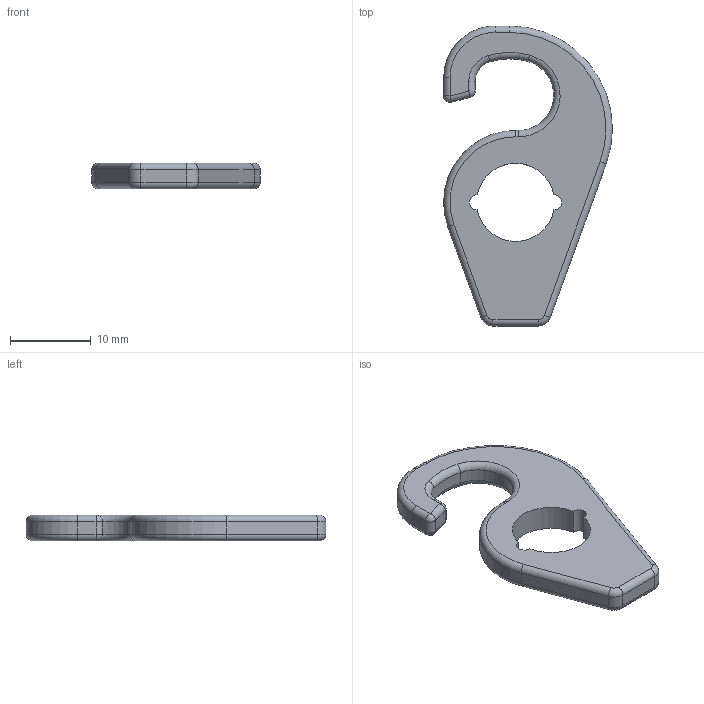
import cadquery as cq
import math

THICKNESS = 3.175
EDGE_ROUND = 0.79

RING_RADIUS = 8.89
BORE_RADIUS = 4.83
NOTCH_RADIUS = 0.94
NOTCH_OFFSET = 4.76

TAIL_BOTTOM = -15.27
TAIL_ANGLE = math.radians(20)
TAIL_CORNER_RADIUS = 1.5875

HOOK_TOP = 21.79
BACK_RADIUS = 12.7
BACK_X = -0.74
NOSE_RADIUS = 6.35

CROWN_WIDTH = 4.06
NECK_FLAT = 0.37
INNER_NOSE_RADIUS = 2.54

TIP_WIDTH = 3.9
TIP_LOW_Y = 12.1
TIP_ANGLE = math.radians(15)
TIP_CORNER_RADIUS = 0.8


def polar(center, radius, angle):
    """Point on a circle at an angle measured from +X."""
    return (center[0] + radius * math.cos(angle), center[1] + radius * math.sin(angle))


def direction(start, end):
    """Angle from +X of the line from start to end."""
    return math.atan2(end[1] - start[1], end[0] - start[0])


def make_outline_solid():
    """Plate with tangent arcs around the hook and sharp corners at tip and tail."""
    ring = (0, 0)
    back = (BACK_X, HOOK_TOP - BACK_RADIUS)
    left = -RING_RADIUS
    nose = (left + NOSE_RADIUS, HOOK_TOP - NOSE_RADIUS)
    tip_inner_x = left + TIP_WIDTH
    tip_inner_y = TIP_LOW_Y + TIP_WIDTH * math.tan(TIP_ANGLE)

    crown_radius = BACK_RADIUS - CROWN_WIDTH

    run = NECK_FLAT - back[0]
    rise = RING_RADIUS - back[1]
    throat_radius = (crown_radius**2 - run**2 - rise**2) / (2 * (crown_radius + rise))
    throat = (NECK_FLAT, RING_RADIUS + throat_radius)
    throat_end = direction(back, throat)

    inner_nose_x = tip_inner_x + INNER_NOSE_RADIUS
    inner_nose_rise = math.sqrt((crown_radius - INNER_NOSE_RADIUS)**2 - (inner_nose_x - back[0])**2)
    inner_nose = (inner_nose_x, back[1] + inner_nose_rise)
    crown_end = direction(back, inner_nose)

    left_tangent = math.pi + TAIL_ANGLE
    right_tangent = -TAIL_ANGLE
    ring_end = polar(ring, RING_RADIUS, left_tangent)
    back_end = polar(back, BACK_RADIUS, right_tangent)
    tail_left_x = ring_end[0] + (ring_end[1] - TAIL_BOTTOM) * math.tan(TAIL_ANGLE)
    tail_right_x = back_end[0] - (back_end[1] - TAIL_BOTTOM) * math.tan(TAIL_ANGLE)

    def arc_to(path, center, radius, start, end):
        middle = polar(center, radius, (start + end) / 2)
        return path.threePointArc(middle, polar(center, radius, end))

    quarter = math.pi / 2
    path = cq.Workplane("XY").moveTo(tail_left_x, TAIL_BOTTOM)
    path = path.lineTo(tail_right_x, TAIL_BOTTOM).lineTo(*back_end)
    path = arc_to(path, back, BACK_RADIUS, right_tangent, quarter)
    path = path.lineTo(nose[0], HOOK_TOP)
    path = arc_to(path, nose, NOSE_RADIUS, quarter, math.pi)
    path = path.lineTo(left, TIP_LOW_Y).lineTo(tip_inner_x, tip_inner_y)
    path = path.lineTo(tip_inner_x, inner_nose[1])
    path = arc_to(path, inner_nose, INNER_NOSE_RADIUS, math.pi, crown_end)
    path = arc_to(path, back, crown_radius, crown_end, throat_end)
    path = arc_to(path, throat, throat_radius, throat_end, -quarter)
    path = path.lineTo(0, RING_RADIUS)
    path = arc_to(path, ring, RING_RADIUS, quarter, left_tangent)
    plate = path.close().extrude(THICKNESS)

    def round_corner(solid, corner, radius):
        edge = cq.selectors.NearestToPointSelector((corner[0], corner[1], THICKNESS / 2))
        return solid.edges("|Z").edges(edge).fillet(radius)

    for tail_x in (tail_left_x, tail_right_x):
        plate = round_corner(plate, (tail_x, TAIL_BOTTOM), TAIL_CORNER_RADIUS)
    for tip_corner in ((left, TIP_LOW_Y), (tip_inner_x, tip_inner_y)):
        plate = round_corner(plate, tip_corner, TIP_CORNER_RADIUS)
    return plate


def round_rims(plate):
    """Round the whole outer rim on both flat faces."""
    return plate.faces("<Z or >Z").edges().fillet(EDGE_ROUND)


def make_notched_bore():
    """Through bore with a round notch on each side along X."""
    bore = cq.Workplane("XY").circle(BORE_RADIUS).extrude(THICKNESS)
    notch_centers = [(-NOTCH_OFFSET, 0), (NOTCH_OFFSET, 0)]
    notches = cq.Workplane("XY").pushPoints(notch_centers).circle(NOTCH_RADIUS).extrude(THICKNESS)
    return bore.union(notches)


result = round_rims(make_outline_solid()).cut(make_notched_bore())